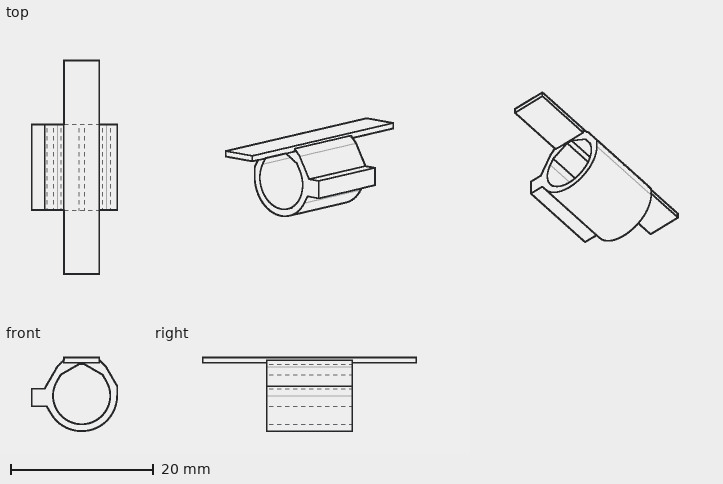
import cadquery as cq
import math

bore_radius = 4.0
wall = 1.0
outer_radius = bore_radius + wall
clip_length = 12.0

bore_peak_z = 4.39

plate_width = 5.0
plate_length = 30.0
plate_thickness = 0.8
plate_top_z = bore_peak_z + wall
plate_bottom_z = plate_top_z - plate_thickness

shoulder_half_width = 3.43

tab_reach = 7.0
tab_top_z = 1.0
tab_bottom_z = -1.5

side_touch = math.radians(30)
roof_touch = math.radians(60)


def on_circle(radius, angle):
    return (radius * math.cos(angle), radius * math.sin(angle))


def mirrored(point):
    return (-point[0], point[1])


def tangent_x(radius, angle, z):
    """X at height z on the line touching a circle at the given angle."""
    return (radius - z * math.sin(angle)) / math.cos(angle)


def tangent_z(radius, angle, x):
    """Z at distance x on the line touching a circle at the given angle."""
    return (radius - x * math.cos(angle)) / math.sin(angle)


def extrude_centred(sketch, length):
    return sketch.extrude(length / 2, both=True)


def make_clip_body():
    """Round underside, steep side walls, sloped shoulders that end at the plate, and the side tab."""
    shoulder_top = (plate_width / 2, outer_radius)
    shoulder_bottom = (shoulder_half_width, tangent_z(outer_radius, side_touch, shoulder_half_width))
    wall_bottom = (outer_radius, outer_radius * math.tan(side_touch / 2))
    tab_root_top = (-tangent_x(outer_radius, side_touch, tab_top_z), tab_top_z)
    left_touch = on_circle(outer_radius, math.pi + side_touch)
    tab_root_bottom = (-tangent_x(outer_radius, side_touch, -tab_bottom_z), tab_bottom_z)
    outline = (
        cq.Workplane("XZ")
        .moveTo(*shoulder_top)
        .lineTo(*shoulder_bottom)
        .lineTo(*wall_bottom)
        .lineTo(outer_radius, 0)
        .threePointArc((0, -outer_radius), left_touch)
        .lineTo(*tab_root_bottom)
        .lineTo(-tab_reach, tab_bottom_z)
        .lineTo(-tab_reach, tab_top_z)
        .lineTo(*tab_root_top)
        .lineTo(*mirrored(shoulder_bottom))
        .lineTo(*mirrored(shoulder_top))
        .close()
    )
    return extrude_centred(outline, clip_length)


def make_bore():
    """Round bore whose upper part has straight walls, two roof slopes and a flat peak."""
    side_end = on_circle(bore_radius, side_touch)
    corner_radius = bore_radius / math.cos((roof_touch - side_touch) / 2)
    corner = on_circle(corner_radius, (roof_touch + side_touch) / 2)
    peak = (tangent_x(bore_radius, roof_touch, bore_peak_z), bore_peak_z)
    outline = (
        cq.Workplane("XZ")
        .moveTo(*peak)
        .lineTo(*corner)
        .lineTo(*side_end)
        .threePointArc((0, -bore_radius), mirrored(side_end))
        .lineTo(*mirrored(corner))
        .lineTo(*mirrored(peak))
        .close()
    )
    return extrude_centred(outline, clip_length)


def make_plate():
    middle_z = (plate_top_z + plate_bottom_z) / 2
    plate = cq.Workplane("XY").box(plate_width, plate_length, plate_thickness)
    return plate.translate((0, 0, middle_z))


result = make_clip_body().cut(make_bore()).union(make_plate())